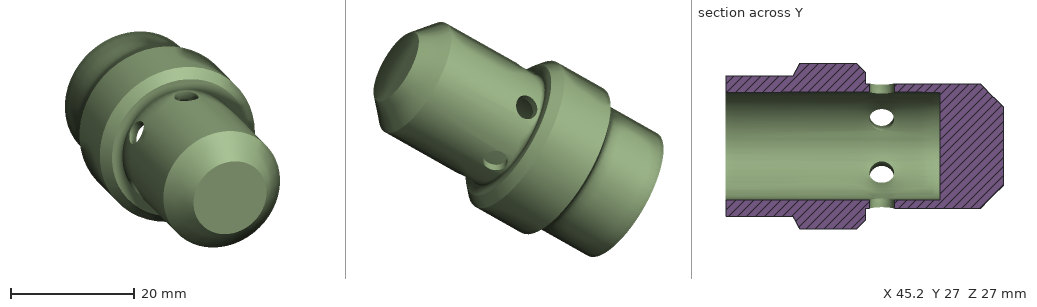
import cadquery as cq

length = 45.2
socket_diameter = 22.88
collar_diameter = 27.0
barrel_diameter = 20.3
bore_diameter = 17.45

collar_start = 10.95
collar_end = 22.8
lead_in_length = 1.1
collar_chamfer = 1.55
nose_chamfer = 3.8
bore_depth = 34.8

hole_diameter = 4.0
hole_count = 6
hole_offset = 2.6

socket_radius = socket_diameter / 2
collar_radius = collar_diameter / 2
barrel_radius = barrel_diameter / 2


def make_body():
    """Solid of revolution: socket, collar, barrel and conical nose."""
    half_profile = (
        cq.Workplane("XY")
        .moveTo(0, 0)
        .lineTo(0, socket_radius)
        .lineTo(collar_start, socket_radius)
        .lineTo(collar_start + lead_in_length, collar_radius)
        .lineTo(collar_end - collar_chamfer, collar_radius)
        .lineTo(collar_end, collar_radius - collar_chamfer)
        .lineTo(collar_end, barrel_radius)
        .lineTo(length - nose_chamfer, barrel_radius)
        .lineTo(length, barrel_radius - nose_chamfer)
        .lineTo(length, 0)
        .close()
    )
    return half_profile.revolve(360, (0, 0, 0), (1, 0, 0))


def make_bore():
    """Blind bore, open at the socket end."""
    return cq.Workplane("YZ").circle(bore_diameter / 2).extrude(bore_depth)


def make_radial_hole(angle):
    """One hole from the axis out through the barrel wall, at an angle from +Z."""
    hole = (
        cq.Workplane("XY")
        .center(collar_end + hole_offset, 0)
        .circle(hole_diameter / 2)
        .extrude(collar_radius)
    )
    return hole.rotate((0, 0, 0), (1, 0, 0), angle)


result = make_body().cut(make_bore())
for index in range(hole_count):
    result = result.cut(make_radial_hole(index * 360 / hole_count))